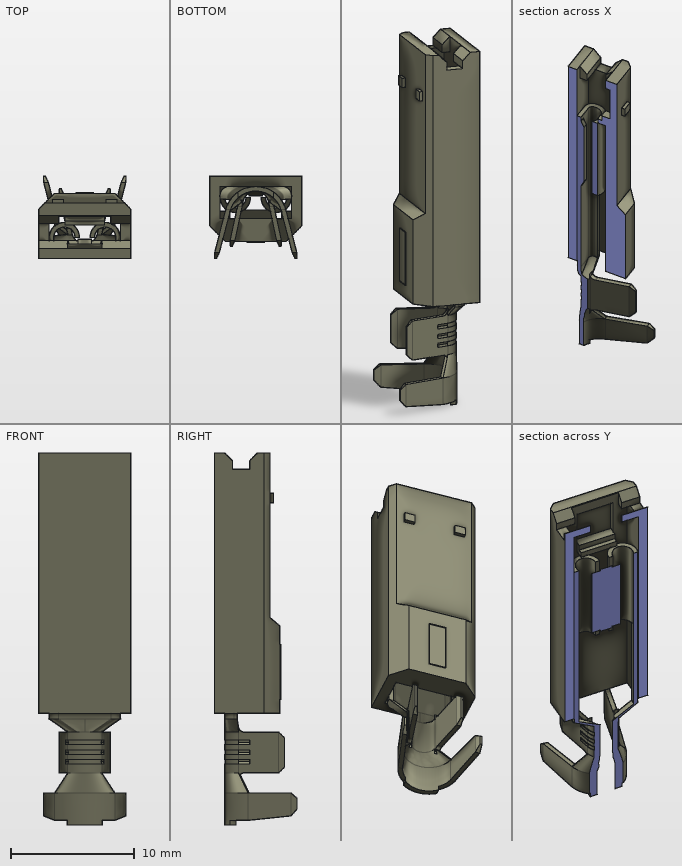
import cadquery as cq
import math

HOUSING_WIDTH = 7.47
HOUSING_HEIGHT = 21.06
OVERALL_HEIGHT = 30.1
SIDE_DEPTH = 4.0
UPPER_DEPTH = 4.5
LOWER_DEPTH = 5.28
STEP_START_Z = 7.07
STEP_END_Z = 7.74

PAD_WIDTH = 1.42
PAD_THICKNESS = 0.08
PAD_BOTTOM_Z = 1.12
PAD_TOP_Z = 5.57

NIB_INNER_X = 1.72
NIB_OUTER_X = 2.6
NIB_BOTTOM_Z = 17.02
NIB_HEIGHT = 0.78
NIB_PROJECTION = 0.28

FRONT_WALL = 0.82
SLOT_FRONT_Y = 1.47
SLOT_BACK_Y = 2.83
FLARE = 0.65
NOTCH_DEPTH = 1.31
FLOOR_GROOVE_WIDTH = 2.8

CHAMBER_WIDTH = 5.76
CHAMBER_BACK_Y = 3.43
CHAMBER_TOP_Z = HOUSING_HEIGHT - NOTCH_DEPTH
MOUTH_BACK_WIDTH = 4.2
LATCH_WIDTH = 3.2
LATCH_RECESS = 0.4
LATCH_RECESS_TOP_Z = CHAMBER_TOP_Z + 0.35
LATCH_TOP_Z = 17.0
LATCH_STEP_Z = 16.5
LATCH_STEP = 0.36

SHEET = 0.38
TERMINAL_TOP_Z = 16.0
RECEPTACLE_BOTTOM_Z = 8.0
CURL_RADIUS = 1.23
CURL_CENTRE_Y = 1.71
CONTACT_WIDTH = 2.6
CONTACT_TOP_Y = 1.47
CONTACT_RAMP = 1.0
CONTACT_RIB_WIDTH = 1.1
CONTACT_RIB_TOP_Y = 1.58
CORNER_RADIUS = 0.74
CHANNEL_RIM_Y = 1.84
NECK_TOP_Z = -0.44

WIRE_TOP_Z = -1.52
WIRE_BOTTOM_Z = -4.81
WIRE_RADIUS = 1.41
WIRE_LEAN = 12.0
WIRE_TIP_Y = 5.67
WIRE_TIP_CORNER = 0.47

GRIP_TOP_Z = -6.43
GRIP_BOTTOM_Z = -8.66
GRIP_RADIUS = 2.51
GRIP_LEAN = 14.5
GRIP_TIP_Y = 6.67
GRIP_TIP_TOP_CORNER = 0.43
GRIP_TIP_BOTTOM_Z = -7.75
GRIP_SHOULDER_BOTTOM_Z = -8.3

WEB_RADIUS = 0.5
TIP_BEVEL_LENGTH = 0.49
TIP_BEVEL_DEPTH = 0.11

TAIL_WIDTH = 2.84
TAIL_BOTTOM_Z = HOUSING_HEIGHT - OVERALL_HEIGHT

SERRATION_CENTRES_Z = (-2.355, -3.16, -3.895)
SERRATION_WIDTH = 0.36
SERRATION_DEPTH = 0.03
SERRATION_WALL_DEPTH = 0.06
SERRATION_END_Y = 2.85


def block(x_min, x_max, y_min, y_max, z_min, z_max):
    """Axis-aligned box between two corners."""
    size = (x_max - x_min, y_max - y_min, z_max - z_min)
    return cq.Workplane("XY").box(*size, centered=False).translate((x_min, y_min, z_min))


def centred_block(width, y_min, y_max, z_min, z_max):
    """Box that is symmetric about X = 0."""
    return block(-width / 2, width / 2, y_min, y_max, z_min, z_max)


def side_prism(points, width):
    """Extrude a (Y, Z) outline along X, symmetric about X = 0."""
    return cq.Workplane("YZ").polyline(points).close().extrude(width / 2, both=True)


def housing_shell():
    half = HOUSING_WIDTH / 2
    bevel = LOWER_DEPTH - SIDE_DEPTH
    shell = (
        cq.Workplane("XY")
        .polyline([
            (-half, 0), (half, 0), (half, SIDE_DEPTH), (half - bevel, LOWER_DEPTH),
            (bevel - half, LOWER_DEPTH), (-half, SIDE_DEPTH),
        ])
        .close()
        .extrude(HOUSING_HEIGHT)
    )
    side_outline = side_prism([
        (0, 0), (LOWER_DEPTH, 0), (LOWER_DEPTH, STEP_START_Z), (UPPER_DEPTH, STEP_END_Z),
        (UPPER_DEPTH, HOUSING_HEIGHT), (0, HOUSING_HEIGHT),
    ], HOUSING_WIDTH)
    return shell.intersect(side_outline)


def flared_notch():
    """Notch across the top edge, with a flared lead-in."""
    flare_z = HOUSING_HEIGHT - FLARE
    return side_prism([
        (SLOT_FRONT_Y, CHAMBER_TOP_Z), (SLOT_BACK_Y, CHAMBER_TOP_Z), (SLOT_BACK_Y, flare_z),
        (SLOT_BACK_Y + FLARE, HOUSING_HEIGHT), (SLOT_FRONT_Y - FLARE, HOUSING_HEIGHT),
        (SLOT_FRONT_Y, flare_z),
    ], HOUSING_WIDTH)


def cavity():
    """Terminal chamber, open below, with a narrower mouth above."""
    chamber = centred_block(CHAMBER_WIDTH, FRONT_WALL, CHAMBER_BACK_Y, 0, CHAMBER_TOP_Z)
    mouth_back = centred_block(
        MOUTH_BACK_WIDTH, SLOT_FRONT_Y, CHAMBER_BACK_Y, CHAMBER_TOP_Z, HOUSING_HEIGHT)
    floor_groove = centred_block(
        FLOOR_GROOVE_WIDTH, FRONT_WALL, SLOT_BACK_Y, CHAMBER_TOP_Z, HOUSING_HEIGHT)
    latch_recess = centred_block(
        LATCH_WIDTH, SLOT_BACK_Y, CHAMBER_BACK_Y + LATCH_RECESS,
        LATCH_TOP_Z, LATCH_RECESS_TOP_Z)
    return chamber.union(mouth_back).union(floor_groove).union(latch_recess)


def latch():
    """Two-step latch on the back wall, just above the terminal."""
    upper = centred_block(
        LATCH_WIDTH, CHAMBER_BACK_Y - LATCH_STEP, CHAMBER_BACK_Y, TERMINAL_TOP_Z, LATCH_TOP_Z)
    lower = centred_block(
        LATCH_WIDTH, CHAMBER_BACK_Y - 2 * LATCH_STEP, CHAMBER_BACK_Y, TERMINAL_TOP_Z, LATCH_STEP_Z)
    return upper.union(lower)


def make_housing():
    body = housing_shell().cut(flared_notch()).cut(cavity()).union(latch())
    body = body.union(centred_block(
        PAD_WIDTH, LOWER_DEPTH, LOWER_DEPTH + PAD_THICKNESS, PAD_BOTTOM_Z, PAD_TOP_Z))
    nib = block(NIB_INNER_X, NIB_OUTER_X, SIDE_DEPTH, UPPER_DEPTH + NIB_PROJECTION,
                NIB_BOTTOM_Z, NIB_BOTTOM_Z + NIB_HEIGHT)
    return body.union(nib).union(nib.mirror("YZ"))


class Barrel:
    """Round-bottomed U section whose straight walls lean outward."""

    def __init__(self, radius, lean_degrees):
        self.radius = radius
        self.lean = math.radians(lean_degrees)
        self.centre_y = FRONT_WALL + radius

    def arc_point(self, angle, inset=0.0):
        """Point on the round bottom; the angle is measured from straight down."""
        reach = self.radius - inset
        return (reach * math.sin(angle), self.centre_y - reach * math.cos(angle))

    def tangent_angle(self):
        return math.pi / 2 - self.lean

    def wall_point(self, y, inset=0.0):
        """Point at height y on the straight wall, inset from its outer face."""
        x, foot_y = self.arc_point(self.tangent_angle(), inset)
        return (x + (y - foot_y) * math.tan(self.lean), y)

    def solid(self, tip_y, z_min, z_max):
        """U section with bevelled wall tips, extruded in Z."""
        shoulder_y = tip_y - TIP_BEVEL_LENGTH
        end = self.tangent_angle()

        def half_points(inset, bevel):
            return [
                self.arc_point(end, inset),
                self.wall_point(shoulder_y, inset),
                self.wall_point(tip_y, inset + bevel),
            ]

        def flip(point):
            return (-point[0], point[1])

        outer = half_points(0, TIP_BEVEL_DEPTH)
        inner = half_points(SHEET, -TIP_BEVEL_DEPTH)
        section = cq.Workplane("XY", origin=(0, 0, z_min)).moveTo(*flip(outer[0]))
        section = section.threePointArc(self.arc_point(0), outer[0])
        for point in outer[1:] + inner[::-1]:
            section = section.lineTo(*point)
        section = section.threePointArc(self.arc_point(0, SHEET), flip(inner[0]))
        for point in inner[1:] + outer[:0:-1]:
            section = section.lineTo(*flip(point))
        return section.close().extrude(z_max - z_min)

    def loft_wire(self, z, split=True):
        """Half-round section without walls, as one arc or split like the channel section."""
        end = self.tangent_angle()
        angles = [-end, -end / 3, 0, end / 3, end] if split else [-end, end]
        outer = [(self.arc_point(a), self.arc_point((a + b) / 2), self.arc_point(b))
                 for a, b in zip(angles, angles[1:])]
        angles.reverse()
        inner = [(self.arc_point(a, SHEET), self.arc_point((a + b) / 2, SHEET), self.arc_point(b, SHEET))
                 for a, b in zip(angles, angles[1:])]
        return ring_wire(outer, inner, z)


def ring_wire(outer, inner, z):
    """Closed wire from two runs of three-point arcs, joined by straight rims."""
    def lift(point):
        return cq.Vector(point[0], point[1], z)

    edges = []
    for run, following in ((outer, inner), (inner, outer)):
        for start, middle, stop in run:
            if middle is None:
                edges.append(cq.Edge.makeLine(lift(start), lift(stop)))
            else:
                edges.append(cq.Edge.makeThreePointArc(lift(start), lift(middle), lift(stop)))
        edges.append(cq.Edge.makeLine(lift(run[-1][2]), lift(following[0][0])))
    return cq.Wire.assembleEdges(edges)


wire_barrel = Barrel(WIRE_RADIUS, WIRE_LEAN)
grip_barrel = Barrel(GRIP_RADIUS, GRIP_LEAN)


def corner_middle(radius):
    """Halfway point of the right-hand bottom corner arc of the channel."""
    centre_x = CHAMBER_WIDTH / 2 - CORNER_RADIUS
    centre_y = FRONT_WALL + CORNER_RADIUS
    offset = radius * math.sqrt(0.5)
    return (centre_x + offset, centre_y - offset)


def channel_solid(z_min, z_max):
    """Flat-bottomed channel with rounded corners and low walls."""
    half = CHAMBER_WIDTH / 2
    channel = centred_block(CHAMBER_WIDTH, FRONT_WALL, CHANNEL_RIM_Y, z_min, z_max)
    channel = channel.edges("|Z and <Y").fillet(CORNER_RADIUS)
    hollow = centred_block(2 * (half - SHEET), FRONT_WALL + SHEET, CHANNEL_RIM_Y + SHEET, z_min, z_max)
    hollow = hollow.edges("|Z and <Y").fillet(CORNER_RADIUS - SHEET)
    return channel.cut(hollow)


def channel_wire(z):
    """Channel section whose corners run up to the rim, for the neck loft."""
    flat = CHAMBER_WIDTH / 2 - CORNER_RADIUS

    def run(inset):
        edge_x = CHAMBER_WIDTH / 2 - inset
        floor_y = FRONT_WALL + inset
        corner = corner_middle(CORNER_RADIUS - inset)
        return [
            ((-edge_x, CHANNEL_RIM_Y), (-corner[0], corner[1]), (-flat, floor_y)),
            ((-flat, floor_y), None, (0, floor_y)),
            ((0, floor_y), None, (flat, floor_y)),
            ((flat, floor_y), corner, (edge_x, CHANNEL_RIM_Y)),
        ]

    inner = [(stop, middle, start) for start, middle, stop in reversed(run(SHEET))]
    return ring_wire(run(0), inner, z)


def receptacle():
    """Flat floor with both edges rolled inward over the mating blade."""
    side_x = CHAMBER_WIDTH / 2
    flat_x = side_x - CORNER_RADIUS
    corner_y = FRONT_WALL + CORNER_RADIUS
    curl_x = side_x - CURL_RADIUS
    inner_curl = CURL_RADIUS - SHEET
    half = (
        cq.Workplane("XY", origin=(0, 0, RECEPTACLE_BOTTOM_Z))
        .moveTo(0, FRONT_WALL)
        .lineTo(flat_x, FRONT_WALL)
        .threePointArc(corner_middle(CORNER_RADIUS), (side_x, corner_y))
        .lineTo(side_x, CURL_CENTRE_Y)
        .threePointArc((curl_x, CURL_CENTRE_Y + CURL_RADIUS), (curl_x - CURL_RADIUS, CURL_CENTRE_Y))
        .lineTo(curl_x - inner_curl, CURL_CENTRE_Y)
        .threePointArc((curl_x, CURL_CENTRE_Y + inner_curl), (curl_x + inner_curl, CURL_CENTRE_Y))
        .lineTo(side_x - SHEET, corner_y)
        .threePointArc(corner_middle(CORNER_RADIUS - SHEET), (flat_x, FRONT_WALL + SHEET))
        .lineTo(0, FRONT_WALL + SHEET)
        .close()
        .extrude(TERMINAL_TOP_Z - RECEPTACLE_BOTTOM_Z)
    )
    return half.union(half.mirror("YZ"))


def floor_contact(width, top_y):
    """Raised strip on the receptacle floor with a ramp at each end."""
    floor_y = FRONT_WALL + SHEET / 2
    return side_prism([
        (floor_y, RECEPTACLE_BOTTOM_Z), (top_y, RECEPTACLE_BOTTOM_Z + CONTACT_RAMP),
        (top_y, TERMINAL_TOP_Z - CONTACT_RAMP), (floor_y, TERMINAL_TOP_Z),
    ], width)


def transition(upper_wire, lower_wire):
    return cq.Workplane(cq.Solid.makeLoft([upper_wire, lower_wire], True))


def serration(centre_z):
    """Shallow groove around the round of the wire barrel, running into a V up both walls."""
    half = SERRATION_WIDTH / 2
    end = wire_barrel.tangent_angle()
    foot = wire_barrel.arc_point(end)
    top = wire_barrel.wall_point(SERRATION_END_Y)
    flat_profile = [(0, -half), (0, half), (-SERRATION_DEPTH, half), (-SERRATION_DEPTH, -half)]
    v_profile = [(0, -half), (0, half), (-SERRATION_WALL_DEPTH, 0)]

    start = cq.Plane(origin=(foot[0], foot[1], centre_z),
                     xDir=(math.sin(end), -math.cos(end), 0),
                     normal=(math.cos(end), math.sin(end), 0))
    length = math.dist(foot, top)
    wall_groove = cq.Workplane(start).polyline(v_profile).close().extrude(length)

    radius = wire_barrel.radius
    round_groove = (
        cq.Workplane("XZ")
        .polyline([(radius + x, z) for x, z in flat_profile])
        .close()
        .revolve(2 * math.degrees(end), (0, 0), (0, 1))
        .rotate((0, 0, 0), (0, 0, 1), WIRE_LEAN)
    )
    round_groove = round_groove.mirror("XZ").translate((0, wire_barrel.centre_y, centre_z))
    return round_groove.union(wall_groove).union(wall_groove.mirror("YZ"))


def wire_crimp():
    crimp = wire_barrel.solid(WIRE_TIP_Y, WIRE_BOTTOM_Z, WIRE_TOP_Z)
    shoulder_y = WIRE_TIP_Y - WIRE_TIP_CORNER
    outline = side_prism([
        (FRONT_WALL, WIRE_BOTTOM_Z), (shoulder_y, WIRE_BOTTOM_Z),
        (WIRE_TIP_Y, WIRE_BOTTOM_Z + WIRE_TIP_CORNER), (WIRE_TIP_Y, WIRE_TOP_Z - WIRE_TIP_CORNER),
        (shoulder_y, WIRE_TOP_Z), (FRONT_WALL, WIRE_TOP_Z),
    ], HOUSING_WIDTH)
    crimp = crimp.intersect(outline)
    for centre_z in SERRATION_CENTRES_Z:
        crimp = crimp.cut(serration(centre_z))
    return crimp


def grip_crimp():
    """Insulation grip with sloping lower edges and a short tail below."""
    barrel = grip_barrel.solid(GRIP_TIP_Y, TAIL_BOTTOM_Z, GRIP_TOP_Z)
    shoulder_y = GRIP_TIP_Y - TIP_BEVEL_LENGTH
    wall_foot_y = grip_barrel.arc_point(grip_barrel.tangent_angle())[1]
    outline = side_prism([
        (FRONT_WALL, GRIP_BOTTOM_Z), (wall_foot_y, GRIP_BOTTOM_Z),
        (shoulder_y, GRIP_SHOULDER_BOTTOM_Z), (GRIP_TIP_Y, GRIP_TIP_BOTTOM_Z),
        (GRIP_TIP_Y, GRIP_TOP_Z - GRIP_TIP_TOP_CORNER), (shoulder_y, GRIP_TOP_Z),
        (FRONT_WALL, GRIP_TOP_Z),
    ], HOUSING_WIDTH)
    tail = centred_block(TAIL_WIDTH, FRONT_WALL, grip_barrel.centre_y, TAIL_BOTTOM_Z, GRIP_BOTTOM_Z)
    return barrel.intersect(outline.union(tail))


def wall_root_web(edge_z, direction):
    """Concave web in the corner between a wire crimp wall and the transition beside it."""
    end_z = edge_z + direction * WEB_RADIUS
    foot_y = wire_barrel.arc_point(wire_barrel.tangent_angle())[1]
    centre_y = foot_y + WEB_RADIUS
    offset = WEB_RADIUS * math.sqrt(0.5)
    outline = (
        cq.Workplane("YZ")
        .moveTo(foot_y, edge_z)
        .lineTo(centre_y, edge_z)
        .threePointArc((centre_y - offset, end_z - direction * offset), (foot_y, end_z))
        .close()
        .extrude(HOUSING_WIDTH / 2, both=True)
    )
    walls = wire_barrel.solid(WIRE_TIP_Y, min(edge_z, end_z), max(edge_z, end_z))
    return walls.intersect(outline)


def make_terminal():
    neck = transition(channel_wire(NECK_TOP_Z), wire_barrel.loft_wire(WIRE_TOP_Z))
    flare = transition(
        wire_barrel.loft_wire(WIRE_BOTTOM_Z, split=False), grip_barrel.loft_wire(GRIP_TOP_Z, split=False))
    body = receptacle()
    body = body.union(floor_contact(CONTACT_WIDTH, CONTACT_TOP_Y))
    body = body.union(floor_contact(CONTACT_RIB_WIDTH, CONTACT_RIB_TOP_Y))
    for section in (channel_solid(NECK_TOP_Z, RECEPTACLE_BOTTOM_Z), neck, wire_crimp(), flare, grip_crimp()):
        body = body.union(section)
    for edge_z, direction in ((WIRE_TOP_Z, 1), (WIRE_BOTTOM_Z, -1)):
        body = body.union(wall_root_web(edge_z, direction))
    return body


housing = make_housing()
terminal = make_terminal()

result = cq.Compound.makeCompound([housing.solids().val(), terminal.solids().val()])